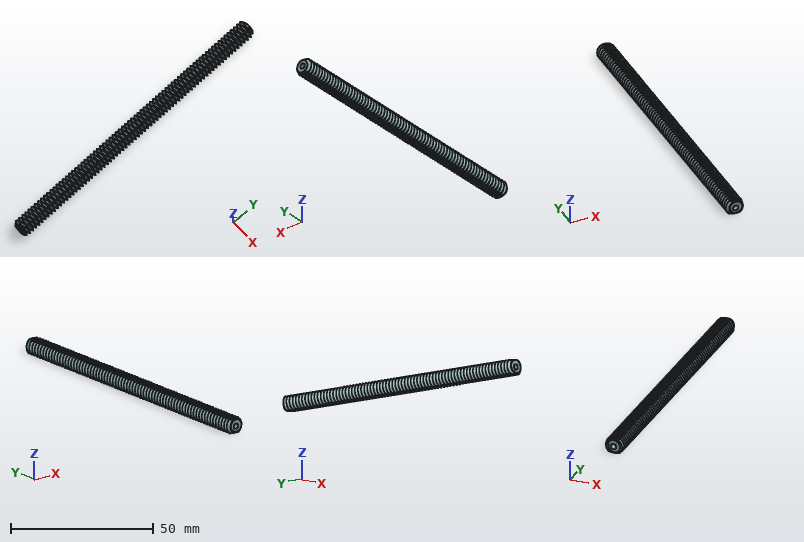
import cadquery as cq
import math

rod_length = 110.0
thread_diameter = 6.6
height_over_flats = 5.0
bore_diameter = 2.0

pitch = 1.5
flank_angle = 60.0

end_face_diameter = height_over_flats
end_cone_angle = 45.0

crest_radius = thread_diameter / 2
thread_depth = pitch / 2 / math.tan(math.radians(flank_angle / 2))
root_radius = crest_radius - thread_depth

overrun = 1.5 * pitch
turns = math.ceil((rod_length + 2 * overrun) / pitch)
trim_margin = 1.0


def one_turn_helix(radius, start):
    """One turn of the thread helix, about local Z and starting on local +X."""
    return cq.Wire.makeHelix(pitch, pitch, radius, center=cq.Vector(0, 0, start))


def turn_flanks(crest_start):
    """The two flanks of one turn, falling from the crest to the roots on either side."""
    flanks = []
    for root_offset in (-pitch / 2, pitch / 2):
        crest = one_turn_helix(crest_radius, crest_start)
        root = one_turn_helix(root_radius, crest_start + root_offset)
        flanks.append(cq.Face.makeRuledSurface(crest, root))
    return flanks


def bar_end_faces(crest_start):
    """Faces closing the bar: a helical floor from axis to root, and a step one tooth high."""
    low = crest_start - pitch / 2
    high = crest_start + pitch / 2
    axis_edge = cq.Edge.makeLine(cq.Vector(0, 0, low), cq.Vector(0, 0, high))
    axis = cq.Wire.assembleEdges([axis_edge])
    floor = cq.Face.makeRuledSurface(axis, one_turn_helix(root_radius, low))
    step_outline = [
        cq.Vector(0, 0, low),
        cq.Vector(root_radius, 0, low),
        cq.Vector(crest_radius, 0, crest_start),
        cq.Vector(root_radius, 0, high),
        cq.Vector(0, 0, high),
    ]
    step = cq.Face.makeFromWires(cq.Wire.makePolygon(step_outline, close=True))
    return [floor, step]


def threaded_bar():
    """Solid V-threaded bar on local Z that runs past both ends of the rod."""
    faces = []
    for turn in range(turns):
        faces += turn_flanks(turn * pitch - overrun)
    faces += bar_end_faces(-overrun)
    faces += bar_end_faces(turns * pitch - overrun)
    bar = cq.Workplane(cq.Solid.makeSolid(cq.Shell.makeShell(faces)))
    return bar.rotate((0, 0, 0), (0, 0, 1), 90)


def coned_sleeve():
    """Round envelope with the bore through it and a cone at each end."""
    outer_radius = crest_radius + trim_margin
    end_radius = end_face_diameter / 2
    cone_length = (outer_radius - end_radius) * math.tan(math.radians(end_cone_angle))
    outline = [
        (bore_diameter / 2, 0),
        (end_radius, 0),
        (outer_radius, cone_length),
        (outer_radius, rod_length - cone_length),
        (end_radius, rod_length),
        (bore_diameter / 2, rod_length),
    ]
    return cq.Workplane("XZ").polyline(outline).close().revolve(360, (0, 0), (0, 1))


def flat_cutter(side):
    """Block that removes everything beyond one flat; side is +1 or -1 along local Y."""
    width = thread_diameter + 2 * trim_margin
    depth = crest_radius
    length = rod_length + 2 * trim_margin
    center_y = side * (height_over_flats + depth) / 2
    return cq.Workplane("XY").box(width, depth, length).translate((0, center_y, rod_length / 2))


rod = threaded_bar().intersect(coned_sleeve(), clean=False)
for side in (1, -1):
    rod = rod.cut(flat_cutter(side), clean=False)

result = rod.translate((0, 0, -rod_length / 2)).rotate((0, 0, 0), (1, 0, 0), -90)